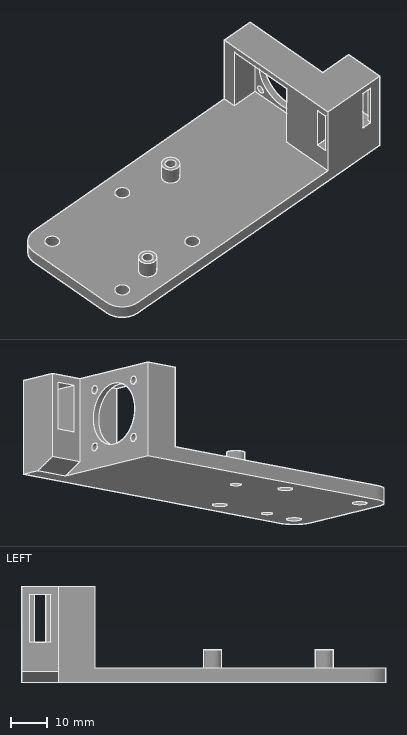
import cadquery as cq

plate_width = 40.0
total_length = 99.25
plate_thickness = 4.0
corner_radius = 6.0

total_height = 26.2
block_depth = 10.0
arm_length = 10.0
arm_width = 12.0
plate_length = total_length - arm_length
block_front = plate_length - block_depth
arm_left = plate_width - arm_width
arm_slope_height = 3.0
arm_slope_width = 6.0

fan_size = 20.2
fan_center_x = 14.0
fan_center_z = plate_thickness + fan_size / 2
fan_wall = 2.0
fan_bore_diameter = 17.0
fan_screw_diameter = 2.2
fan_screw_spacing = 16.0

cavity_bottom = 11.0
cavity_height = 13.0
cavity_top = cavity_bottom + cavity_height
cavity_center_y = total_length - arm_length / 2
pocket_length = 5.8
pocket_front = cavity_center_y - pocket_length / 2
pocket_rear = cavity_center_y + pocket_length / 2
slot_width = 3.0
side_skin = 1.0
slot_right = plate_width - side_skin
window_width = 3.0
window_front = cavity_center_y - window_width / 2
window_rear = cavity_center_y + window_width / 2

mount_hole_diameter = 4.0
mount_spacing = 27.0
mount_inset = 6.5
standoff_diameter = 5.0
standoff_bore = 3.0
standoff_height = 5.0
standoff_positions = [(11.4, 47.23), (33.0, 16.78)]


def box(x_range, y_range, z_range):
    """Axis-aligned box between the given coordinate pairs."""
    (x0, x1), (y0, y1), (z0, z1) = x_range, y_range, z_range
    return cq.Workplane("XY").box(x1 - x0, y1 - y0, z1 - z0, centered=False).translate((x0, y0, z0))


def make_plate():
    plate = box((0, plate_width), (0, plate_length), (0, plate_thickness))
    return plate.edges("|Z and <Y").fillet(corner_radius)


def make_block():
    return box((0, plate_width), (block_front, plate_length), (0, total_height))


def make_arm():
    """Arm behind the block, with its lower left edge sloped off."""
    return (
        cq.Workplane("XZ", origin=(0, total_length, 0))
        .moveTo(arm_left + arm_slope_width, 0)
        .lineTo(plate_width, 0)
        .lineTo(plate_width, total_height)
        .lineTo(arm_left, total_height)
        .lineTo(arm_left, arm_slope_height)
        .close()
        .extrude(arm_length)
    )


def make_fan_cutter():
    """Square seat, air bore and four screw holes, all running along Y."""
    half_size = fan_size / 2
    seat = box(
        (fan_center_x - half_size, fan_center_x + half_size),
        (block_front, plate_length - fan_wall),
        (plate_thickness, plate_thickness + fan_size),
    )
    rear_wall = cq.Workplane("XZ", origin=(fan_center_x, plate_length, fan_center_z))
    bore = rear_wall.circle(fan_bore_diameter / 2).extrude(block_depth)
    screws = (
        rear_wall.rect(fan_screw_spacing, fan_screw_spacing, forConstruction=True)
        .vertices()
        .circle(fan_screw_diameter / 2)
        .extrude(fan_wall)
    )
    return seat.union(bore).union(screws)


def make_sensor_cutter():
    """Slot, side pocket and window sharing one height range."""
    heights = (cavity_bottom, cavity_top)
    slot = box((slot_right - slot_width, slot_right), (block_front, pocket_rear), heights)
    pocket = box((arm_left, slot_right), (pocket_front, pocket_rear), heights)
    window = box((slot_right, plate_width), (window_front, window_rear), heights)
    return slot.union(pocket).union(window)


def add_standoffs(body):
    height = plate_thickness + standoff_height
    posts = cq.Workplane("XY").pushPoints(standoff_positions).circle(standoff_diameter / 2).extrude(height)
    bores = cq.Workplane("XY").pushPoints(standoff_positions).circle(standoff_bore / 2).extrude(height)
    return body.union(posts).cut(bores)


def make_mount_holes():
    center = (plate_width / 2, mount_inset + mount_spacing / 2, 0)
    return (
        cq.Workplane("XY", origin=center)
        .rect(mount_spacing, mount_spacing, forConstruction=True)
        .vertices()
        .circle(mount_hole_diameter / 2)
        .extrude(plate_thickness)
    )


body = make_plate().union(make_block()).union(make_arm())
body = body.cut(make_fan_cutter()).cut(make_sensor_cutter())
body = add_standoffs(body)
result = body.cut(make_mount_holes())